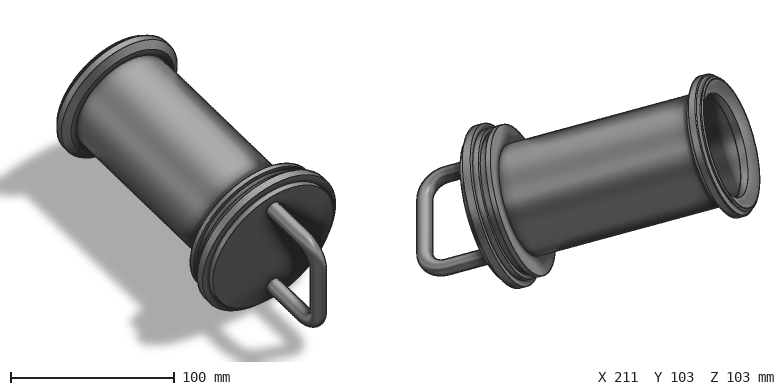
import cadquery as cq

overall_length = 211.0

ferrule_diameter = 89.7
ferrule_back_diameter = 79.8
neck_diameter = 81.0
lip_diameter = 84.8
lip_face_diameter = 82.3
lip_peak_x = 0.8
lip_back_x = 1.7
ferrule_front_x = 2.5
ferrule_shoulder_x = 3.4
ferrule_shoulder_diameter = 88.5
ferrule_rim_x = 4.0
ferrule_taper_x = 8.5
ferrule_back_x = 11.8

tube_diameter = 71.0
mouth_diameter = 81.5
throat_diameter = 66.0
bore_diameter = 67.0
mouth_depth = 4.2
throat_end_x = 9.3

plug_front_x = 140.0
groove_front_x = 143.3
groove_back_x = 148.1
flange_front_x = 152.0
flange_back_x = 157.2
plug_back_x = 161.0
seal_disc_diameter = 95.5
groove_diameter = 90.0
flange_diameter = 103.0
end_disc_diameter = 93.0

rod_diameter = 10.0
bend_radius = 15.0
leg_offset = 35.0
grip_x = overall_length - rod_diameter / 2
bend_start_x = grip_x - bend_radius
bend_end_z = leg_offset - bend_radius


def revolve_profile(points):
    """Revolve (x, diameter) points, closed along the axis, about X."""
    outline = [(x, diameter / 2) for x, diameter in points]
    outline = [(outline[0][0], 0)] + outline + [(outline[-1][0], 0)]
    return cq.Workplane("XY").polyline(outline).close().revolve(360, (0, 0), (1, 0))


def disc(start_x, end_x, diameter):
    return revolve_profile([(start_x, diameter), (end_x, diameter)])


def make_ferrule():
    return revolve_profile([
        (0, lip_face_diameter),
        (lip_peak_x, lip_diameter),
        (lip_back_x, neck_diameter),
        (ferrule_front_x, neck_diameter),
        (ferrule_shoulder_x, ferrule_shoulder_diameter),
        (ferrule_rim_x, ferrule_diameter),
        (ferrule_taper_x, ferrule_diameter),
        (ferrule_back_x, ferrule_back_diameter),
    ])


def make_bore():
    """Conical mouth, narrow throat, then a wider bore that ends at the plug."""
    return revolve_profile([
        (0, mouth_diameter),
        (mouth_depth, throat_diameter),
        (throat_end_x, throat_diameter),
        (throat_end_x, bore_diameter),
        (plug_front_x, bore_diameter),
    ])


def make_plug():
    return (
        disc(plug_front_x, groove_front_x, seal_disc_diameter)
        .union(disc(groove_front_x, groove_back_x, groove_diameter))
        .union(disc(groove_back_x, flange_front_x, seal_disc_diameter))
        .union(disc(flange_front_x, flange_back_x, flange_diameter))
        .union(disc(flange_back_x, plug_back_x, end_disc_diameter))
    )


def make_handle():
    path = (
        cq.Workplane("XZ")
        .moveTo(plug_back_x, leg_offset)
        .lineTo(bend_start_x, leg_offset)
        .tangentArcPoint((grip_x, bend_end_z), relative=False)
        .lineTo(grip_x, -bend_end_z)
        .tangentArcPoint((bend_start_x, -leg_offset), relative=False)
        .lineTo(plug_back_x, -leg_offset)
    )
    section = cq.Workplane("YZ", origin=(plug_back_x, 0, leg_offset)).circle(rod_diameter / 2)
    return section.sweep(path)


tube = disc(0, plug_front_x, tube_diameter)
body = make_ferrule().union(tube).cut(make_bore())
result = body.union(make_plug()).union(make_handle())